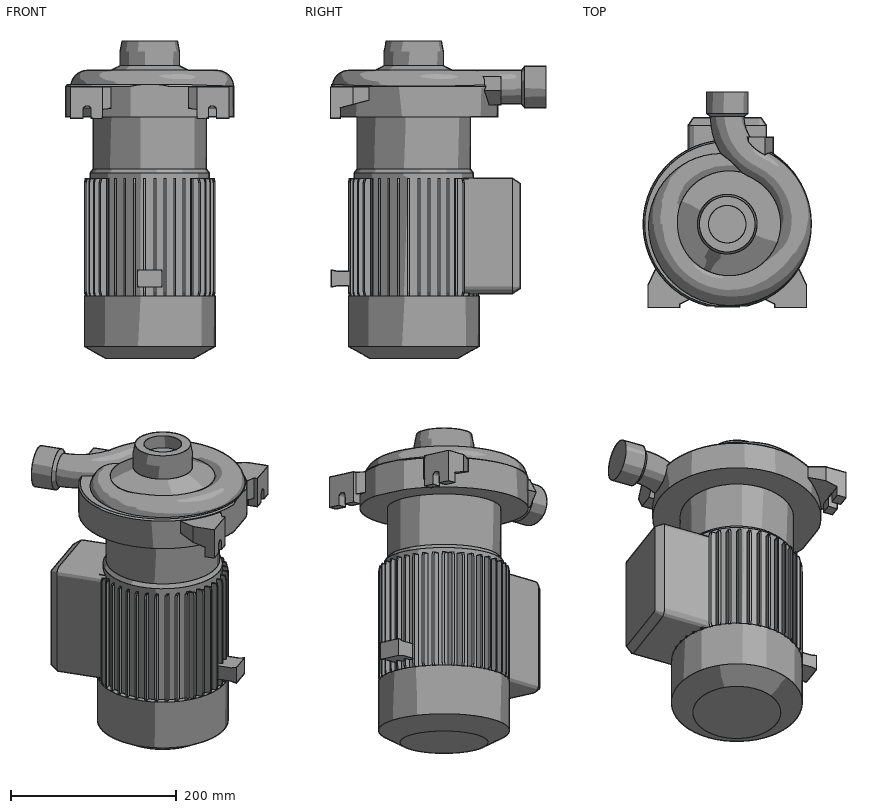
import cadquery as cq
import math


HEIGHT = 383.0
COVER_SHOULDER_Z = 14.6
FIN_BOTTOM_Z = 75.6
FIN_TOP_Z = 217.0
COLLAR_EDGE_Z = 223.8
COLLAR_TOP_Z = 228.6
FLANGE_BOTTOM_Z = 291.5
FLANGE_TOP_Z = 330.2
VOLUTE_Z = 327.3
LID_TOP_Z = 353.0
NOZZLE_TAPER_Z = 370.0

COVER_RADIUS = 79.0
COVER_END_RADIUS = 53.0
CORE_RADIUS = 72.0
NECK_RADIUS = 68.5
FLANGE_RADIUS = 101.5
FLANGE_CHAMFER = 2.0
FLANGE_FLAT_Y = -98.9
LID_SLOPE = 0.5
NOZZLE_RADIUS = 36.0
NOZZLE_TIP_RADIUS = 33.5
NOZZLE_BORE_RADIUS = 22.6
NOZZLE_BORE_DEPTH = 16.0

FINS_PER_SIDE = 10
FIN_PITCH_ANGLE = 90.0 / FINS_PER_SIDE
FIN_THICKNESS = 2.2
FIN_END_DROP = 1.0
FIN_END_LENGTH = 5.0

TUBE_RADIUS = 20.3
VOLUTE_OFFSET_X = 3.0
VOLUTE_RADIUS = 78.0
VOLUTE_OUTLET_ANGLE = 64.0
TAIL_RADIUS = 71.4
TAIL_END_ANGLE = 50.0
TAIL_END_TUBE_RADIUS = 11.0
SOCKET_RADIUS = 25.2
SOCKET_END_Y = 159.5
SOCKET_CHAMFER_LENGTH = 4.0

PLUG_X = 35.5
PLUG_Z = 323.0
PLUG_CIRCUMRADIUS = 20.0
PLUG_START_Y = 70.0
PLUG_END_Y = 105.0

BOX_WIDTH = 94.8
BOX_BOTTOM_Z = 78.0
BOX_TOP_Z = 217.5
BOX_INNER_Y = 50.0
BOX_OUTER_Y = 128.5
BOX_CORNER_RADIUS = 9.0
BOX_BEVEL_DEPTH = 9.7
BOX_BEVEL_INSET = 6.5

SUPPORT_WIDTH = 29.4
SUPPORT_Z = 96.5
SUPPORT_HEIGHT = 18.0
SUPPORT_END_HEIGHT = 21.0
SUPPORT_INNER_Y = -65.0
SUPPORT_END_Y = -99.6
SUPPORT_FLARE_LENGTH = 7.0

FOOT_FACE_Y = -100.5
FOOT_TOP_Z = 327.4
FOOT_TOE_BOTTOM_Z = 289.6
FOOT_TOE_INNER_Y = -88.6
FOOT_WEB_OUTER_Z = 299.2
FOOT_WEB_INNER_Z = 311.5
FOOT_BACK_Y = -54.0
FOOT_OUTER_X = 95.6
FOOT_INNER_X = 57.0
FOOT_SHOULDER_Y = -73.4
FOOT_BACK_X = 86.5
FOOT_HEEL_X = 46.5
FOOT_HEEL_Y = -91.0
FOOT_INNER_EDGE_Y = -96.4
SLOT_X = 75.4
SLOT_WIDTH = 9.6
SLOT_TOP_Z = 304.6


def round_body():
    lid_edge_radius = VOLUTE_RADIUS
    lid_edge_z = LID_TOP_Z - LID_SLOPE * (lid_edge_radius - NOZZLE_RADIUS)
    profile = [
        (0, 0),
        (COVER_END_RADIUS, 0),
        (COVER_RADIUS, COVER_SHOULDER_Z),
        (COVER_RADIUS, FIN_BOTTOM_Z),
        (CORE_RADIUS, FIN_BOTTOM_Z),
        (CORE_RADIUS, COLLAR_EDGE_Z),
        (NECK_RADIUS, COLLAR_TOP_Z),
        (NECK_RADIUS, FLANGE_TOP_Z),
        (lid_edge_radius, FLANGE_TOP_Z),
        (lid_edge_radius, lid_edge_z),
        (NOZZLE_RADIUS, LID_TOP_Z),
        (NOZZLE_RADIUS, NOZZLE_TAPER_Z),
        (NOZZLE_TIP_RADIUS, HEIGHT),
        (0, HEIGHT),
    ]
    return cq.Workplane("XZ").polyline(profile).close().revolve(360, (0, 0), (0, 1))


def flange():
    """Casing disc, flattened on the foot side."""
    disc = (
        cq.Workplane("XY")
        .workplane(offset=FLANGE_BOTTOM_Z)
        .circle(FLANGE_RADIUS)
        .extrude(FLANGE_TOP_Z - FLANGE_BOTTOM_Z)
        .faces(">Z")
        .chamfer(FLANGE_CHAMFER)
    )
    size = 2 * FLANGE_RADIUS
    keep = (
        cq.Workplane("XY")
        .box(size, size, HEIGHT, centered=(True, False, False))
        .translate((0, FLANGE_FLAT_Y, 0))
    )
    return disc.intersect(keep)


def cooling_fins():
    """Fins parallel to X or Y, evenly spaced by angle, trimmed to a round envelope."""
    height = FIN_TOP_Z - FIN_BOTTOM_Z
    length = 2 * COVER_RADIUS
    offsets = []
    for index in range(FINS_PER_SIDE):
        angle = math.radians((index - (FINS_PER_SIDE - 1) / 2) * FIN_PITCH_ANGLE)
        offsets.append(COVER_RADIUS * math.sin(angle))
    base = cq.Workplane("XY").workplane(offset=FIN_BOTTOM_Z)
    along_y = base.pushPoints([(x, 0) for x in offsets]).rect(FIN_THICKNESS, length).extrude(height)
    along_x = base.pushPoints([(0, y) for y in offsets]).rect(length, FIN_THICKNESS).extrude(height)
    end_radius = COVER_RADIUS - FIN_END_DROP
    envelope = (
        cq.Workplane("XZ")
        .polyline([
            (0, FIN_BOTTOM_Z),
            (end_radius, FIN_BOTTOM_Z),
            (COVER_RADIUS, FIN_BOTTOM_Z + FIN_END_LENGTH),
            (COVER_RADIUS, FIN_TOP_Z - FIN_END_LENGTH),
            (end_radius, FIN_TOP_Z),
            (0, FIN_TOP_Z),
        ])
        .close()
        .revolve(360, (0, 0), (0, 1))
    )
    return along_y.union(along_x).intersect(envelope)


def volute():
    """Constant-section part of the spiral, from the left side round the front to the outlet."""
    return (
        cq.Workplane("XZ", origin=(VOLUTE_OFFSET_X, 0, VOLUTE_Z))
        .center(-VOLUTE_RADIUS, 0)
        .circle(TUBE_RADIUS)
        .revolve(180 + VOLUTE_OUTLET_ANGLE, (VOLUTE_RADIUS, 0), (VOLUTE_RADIUS, 1))
    )


def volute_tail():
    """Narrowing start of the spiral, running from the left side into the outlet bend."""
    start_x = VOLUTE_OFFSET_X - VOLUTE_RADIUS
    center_x = start_x + TAIL_RADIUS

    def tail_point(degrees):
        angle = math.radians(degrees)
        return (center_x + TAIL_RADIUS * math.cos(angle), TAIL_RADIUS * math.sin(angle))

    end = tail_point(TAIL_END_ANGLE)
    path = (
        cq.Workplane("XY", origin=(0, 0, VOLUTE_Z))
        .moveTo(start_x, 0)
        .threePointArc(tail_point((180 + TAIL_END_ANGLE) / 2), end)
    )
    end_angle = math.radians(TAIL_END_ANGLE)
    end_plane = cq.Plane(
        origin=(end[0], end[1], VOLUTE_Z),
        xDir=(math.cos(end_angle), math.sin(end_angle), 0),
        normal=(math.sin(end_angle), -math.cos(end_angle), 0),
    )
    start_plane = cq.Plane(origin=(start_x, 0, VOLUTE_Z), xDir=(-1, 0, 0), normal=(0, 1, 0))
    start_wire = cq.Workplane(start_plane).circle(TUBE_RADIUS).wires().val()
    end_wire = cq.Workplane(end_plane).circle(TAIL_END_TUBE_RADIUS).wires().val()
    sections = cq.Workplane("XY").newObject([start_wire, end_wire])
    sections.ctx.pendingWires = [start_wire, end_wire]
    return sections.sweep(path, multisection=True)


def discharge_pipe():
    """Bend from the volute outlet to the +Y direction, ending in a socket."""
    outlet_angle = math.radians(VOLUTE_OUTLET_ANGLE)
    outlet_x = VOLUTE_OFFSET_X + VOLUTE_RADIUS * math.cos(outlet_angle)
    outlet_y = VOLUTE_RADIUS * math.sin(outlet_angle)
    bend_radius = outlet_x / (1 - math.cos(outlet_angle))
    bend_end_y = outlet_y + bend_radius * math.sin(outlet_angle)
    bend = (
        cq.Workplane("XZ", origin=(0, bend_end_y, VOLUTE_Z))
        .circle(TUBE_RADIUS)
        .revolve(VOLUTE_OUTLET_ANGLE, (bend_radius, 0), (bend_radius, 1))
    )
    socket = (
        cq.Workplane("XY", origin=(0, bend_end_y, VOLUTE_Z))
        .polyline([
            (0, 0),
            (TUBE_RADIUS, 0),
            (SOCKET_RADIUS, SOCKET_CHAMFER_LENGTH),
            (SOCKET_RADIUS, SOCKET_END_Y - bend_end_y),
            (0, SOCKET_END_Y - bend_end_y),
        ])
        .close()
        .revolve(360, (0, 0), (0, 1))
    )
    return bend.union(socket)


def hex_plug():
    return (
        cq.Workplane("XZ", origin=(PLUG_X, PLUG_END_Y, PLUG_Z))
        .polygon(6, 2 * PLUG_CIRCUMRADIUS)
        .extrude(PLUG_END_Y - PLUG_START_Y)
    )


def terminal_box():
    """Box with rounded long edges and a bevelled lid."""
    height = BOX_TOP_Z - BOX_BOTTOM_Z
    return (
        cq.Workplane("XZ", origin=(0, BOX_OUTER_Y, (BOX_BOTTOM_Z + BOX_TOP_Z) / 2))
        .rect(BOX_WIDTH, height)
        .extrude(BOX_OUTER_Y - BOX_INNER_Y)
        .edges("|Y")
        .fillet(BOX_CORNER_RADIUS)
        .faces(">Y")
        .chamfer(BOX_BEVEL_DEPTH, BOX_BEVEL_INSET)
    )


def support_block():
    """Motor rest that flares slightly towards its outer end."""
    half_inner = SUPPORT_HEIGHT / 2
    half_end = SUPPORT_END_HEIGHT / 2
    flare_y = SUPPORT_END_Y + SUPPORT_FLARE_LENGTH
    profile = [
        (SUPPORT_INNER_Y, SUPPORT_Z - half_inner),
        (flare_y, SUPPORT_Z - half_inner),
        (SUPPORT_END_Y, SUPPORT_Z - half_end),
        (SUPPORT_END_Y, SUPPORT_Z + half_end),
        (flare_y, SUPPORT_Z + half_inner),
        (SUPPORT_INNER_Y, SUPPORT_Z + half_inner),
    ]
    return cq.Workplane("YZ").polyline(profile).close().extrude(SUPPORT_WIDTH / 2, both=True)


def foot():
    """Foot on the +X side: a web with a sloping underside and a deeper toe holding a bolt slot."""
    outline = [
        (FOOT_OUTER_X, FOOT_FACE_Y),
        (FOOT_OUTER_X, FOOT_SHOULDER_Y),
        (FOOT_BACK_X, FOOT_BACK_Y),
        (FOOT_HEEL_X, FOOT_BACK_Y),
        (FOOT_HEEL_X, FOOT_HEEL_Y),
        (FOOT_INNER_X, FOOT_INNER_EDGE_Y),
        (FOOT_INNER_X, FOOT_FACE_Y),
    ]
    side = [
        (FOOT_FACE_Y, FOOT_TOP_Z),
        (FOOT_FACE_Y, FOOT_WEB_OUTER_Z),
        (FOOT_BACK_Y, FOOT_WEB_INNER_Z),
        (FOOT_BACK_Y, FOOT_TOP_Z),
    ]
    plan = cq.Workplane("XY").polyline(outline).close().extrude(HEIGHT)
    web = plan.intersect(cq.Workplane("YZ").polyline(side).close().extrude(2 * FOOT_OUTER_X))
    toe = (
        cq.Workplane("XY")
        .box(
            FOOT_OUTER_X - FOOT_INNER_X,
            FOOT_TOE_INNER_Y - FOOT_FACE_Y,
            FOOT_TOP_Z - FOOT_TOE_BOTTOM_Z,
            centered=False,
        )
        .translate((FOOT_INNER_X, FOOT_FACE_Y, FOOT_TOE_BOTTOM_Z))
    )
    arc_z = SLOT_TOP_Z - SLOT_WIDTH / 2
    slot = (
        cq.Workplane("XZ", origin=(0, FOOT_TOE_INNER_Y, 0))
        .moveTo(SLOT_X - SLOT_WIDTH / 2, FOOT_TOE_BOTTOM_Z)
        .lineTo(SLOT_X - SLOT_WIDTH / 2, arc_z)
        .threePointArc((SLOT_X, SLOT_TOP_Z), (SLOT_X + SLOT_WIDTH / 2, arc_z))
        .lineTo(SLOT_X + SLOT_WIDTH / 2, FOOT_TOE_BOTTOM_Z)
        .close()
        .extrude(FOOT_TOE_INNER_Y - FOOT_FACE_Y)
    )
    return web.union(toe).cut(slot)


def nozzle_bore():
    return (
        cq.Workplane("XY")
        .workplane(offset=HEIGHT - NOZZLE_BORE_DEPTH)
        .circle(NOZZLE_BORE_RADIUS)
        .extrude(NOZZLE_BORE_DEPTH)
    )


right_foot = foot()
result = (
    round_body()
    .union(cooling_fins())
    .union(flange())
    .union(volute())
    .union(volute_tail())
    .union(discharge_pipe())
    .union(hex_plug())
    .union(terminal_box())
    .union(support_block())
    .union(right_foot)
    .union(right_foot.mirror("YZ"))
    .cut(nozzle_bore())
)